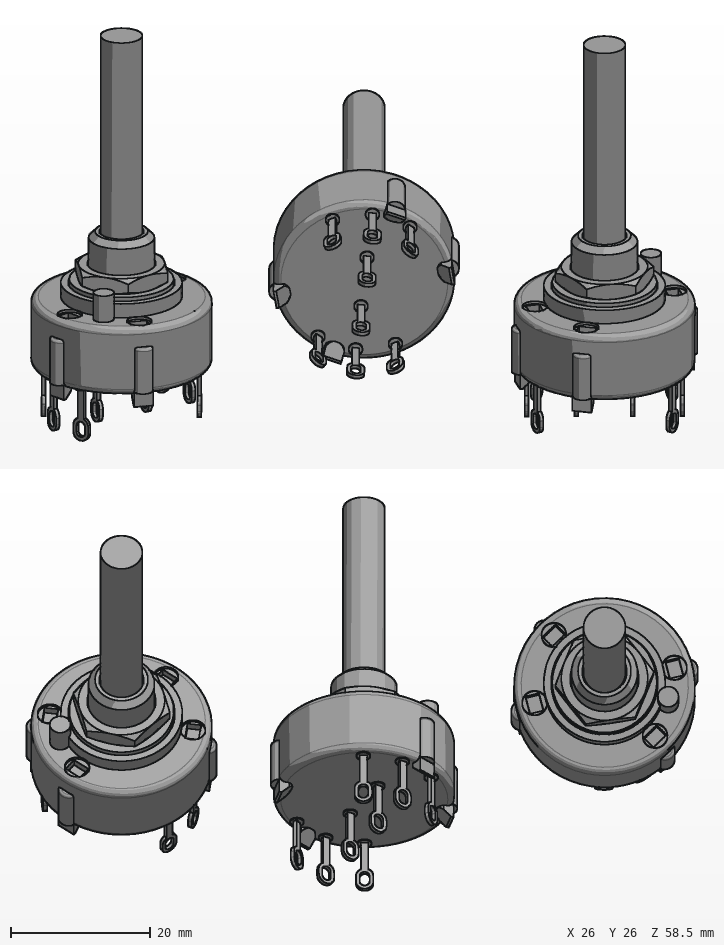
import cadquery as cq
import math


total_height = 58.5
housing_bottom = 8.15
housing_top = 18.5
collar_top = 20.6
washer_top = 21.1
nut_top = 23.5
bushing_top = 28.45

housing_diameter = 26.0
housing_flat_diameter = 24.0
housing_edge_radius = (housing_diameter - housing_flat_diameter) / 2
collar_diameter = 17.45
recess_diameter = 15.3
recess_depth = 0.5
washer_diameter = 15.0
bushing_diameter = 9.5
bushing_chamfer = 0.95
bore_diameter = 6.4
bore_depth = 0.95
shaft_diameter = 6.0

nut_across_flats = 12.4
nut_across_corners = nut_across_flats / math.cos(math.radians(30))
nut_bore_diameter = 9.8
nut_turn = -6.4
nut_bevel_angle = 30

peg_diameter = 3.0
peg_radius = 9.5
peg_top = 22.5

clip_angles = (60, 120, 240, 300)
rib_diameter = 3.0
rib_radius = 12.3
rib_top = 15.5
rib_fillet = 0.4
rib_bottom = 8.55
hook_bottom = 6.3
hook_width = 2.8
hook_outer_radius = 12.9
hook_tip_radius = 12.5
hook_round_diameter = 3.3
window_diameter = 3.55
window_radius = 10.35
window_depth = 0.4
slot_length = 2.65
slot_width = 2.0
slot_depth = 1.15

outer_terminal_radius = 11.2
inner_terminal_radius = 4.05
terminal_angles = (15, 45, 75, 195, 225, 255)
common_terminal_angles = (45, 225)
terminal_thickness = 0.6
stem_width = 1.05
eye_width = 2.5
eye_height = 3.5
eye_hole_width = 1.4
eye_hole_height = 2.35
seat_diameter = 2.0
seat_height = 0.2


def cylinder(diameter, bottom, top, x=0.0, y=0.0):
    """Upright cylinder between two levels."""
    return cq.Workplane("XY", origin=(x, y, bottom)).circle(diameter / 2).extrude(top - bottom)


def place(solid, angle):
    """Turn a feature built on the +X side around the switch axis."""
    return solid.rotate((0, 0, 0), (0, 0, 1), angle)


def make_housing():
    drum = cylinder(housing_diameter, housing_bottom, housing_top)
    return drum.edges().fillet(housing_edge_radius)


def make_window():
    """Round opening with a rectangular slot sunk into its floor."""
    opening = cylinder(window_diameter, housing_top - window_depth, housing_top, window_radius)
    slot_bottom = housing_top - window_depth - slot_depth
    slot = (
        cq.Workplane("XY", origin=(window_radius, 0, slot_bottom))
        .rect(slot_width, slot_length)
        .extrude(slot_depth)
    )
    return opening.union(slot)


def make_clip():
    """Half-round rib on the rim above a hook with rounded sides and a 45 degree slope."""
    rib = cylinder(rib_diameter, rib_bottom, rib_top, rib_radius).faces(">Z").fillet(rib_fillet)
    hook_height = rib_bottom - hook_bottom
    hook = (
        cq.Workplane("XZ", origin=(0, hook_width / 2, 0))
        .moveTo(hook_outer_radius, hook_bottom)
        .lineTo(hook_outer_radius, rib_bottom)
        .lineTo(hook_tip_radius - hook_height, rib_bottom)
        .lineTo(hook_tip_radius, hook_bottom)
        .close()
        .extrude(hook_width)
    )
    rounding = cylinder(hook_round_diameter, hook_bottom, rib_bottom, rib_radius)
    return rib.union(hook.intersect(rounding))


def make_collar():
    collar = cylinder(collar_diameter, housing_top, collar_top)
    return collar.cut(cylinder(recess_diameter, collar_top - recess_depth, collar_top))


def make_nut():
    """Hexagon with both ends bevelled down from the circle across its flats."""
    bevel = math.tan(math.radians(nut_bevel_angle)) * (nut_across_corners - nut_across_flats) / 2
    hexagon = (
        cq.Workplane("XY", origin=(0, 0, washer_top))
        .polygon(6, nut_across_corners)
        .extrude(nut_top - washer_top)
    )
    half_profile = [
        (0, washer_top),
        (nut_across_flats / 2, washer_top),
        (nut_across_corners / 2, washer_top + bevel),
        (nut_across_corners / 2, nut_top - bevel),
        (nut_across_flats / 2, nut_top),
        (0, nut_top),
    ]
    envelope = cq.Workplane("XZ").polyline(half_profile).close().revolve(360, (0, 0, 0), (0, 1, 0))
    return place(hexagon.intersect(envelope), nut_turn).cut(
        cylinder(nut_bore_diameter, washer_top, nut_top)
    )


def make_bushing():
    bushing = cylinder(bushing_diameter, collar_top, bushing_top).faces(">Z").chamfer(bushing_chamfer)
    return bushing.cut(cylinder(bore_diameter, bushing_top - bore_depth, bushing_top))


def make_terminal(radius):
    """Flat stem with an oblong eye, hanging from a small round seat."""
    plate = cq.Workplane("YZ", origin=(radius - terminal_thickness / 2, 0, 0))
    eye_center = plate.center(0, eye_height / 2)
    eye = eye_center.slot2D(eye_height, eye_width, 90).extrude(terminal_thickness)
    hole = eye_center.slot2D(eye_hole_height, eye_hole_width, 90).extrude(terminal_thickness)
    stem_height = housing_bottom - eye_height / 2
    stem = (
        plate.center(0, eye_height / 2 + stem_height / 2)
        .rect(stem_width, stem_height)
        .extrude(terminal_thickness)
    )
    seat = cylinder(seat_diameter, housing_bottom - seat_height, housing_bottom, radius)
    return eye.union(stem).cut(hole).union(seat)


result = make_housing()
for angle in clip_angles:
    result = result.union(place(make_clip(), angle))
    result = result.cut(place(make_window(), angle))

result = result.union(make_collar())
result = result.union(cylinder(washer_diameter, collar_top - recess_depth, washer_top))
result = result.union(make_nut())
result = result.union(make_bushing())
result = result.union(cylinder(shaft_diameter, bushing_top - bore_depth, total_height))
result = result.union(cylinder(peg_diameter, housing_top, peg_top, 0, -peg_radius))

for angle in terminal_angles:
    result = result.union(place(make_terminal(outer_terminal_radius), angle))
for angle in common_terminal_angles:
    result = result.union(place(make_terminal(inner_terminal_radius), angle))